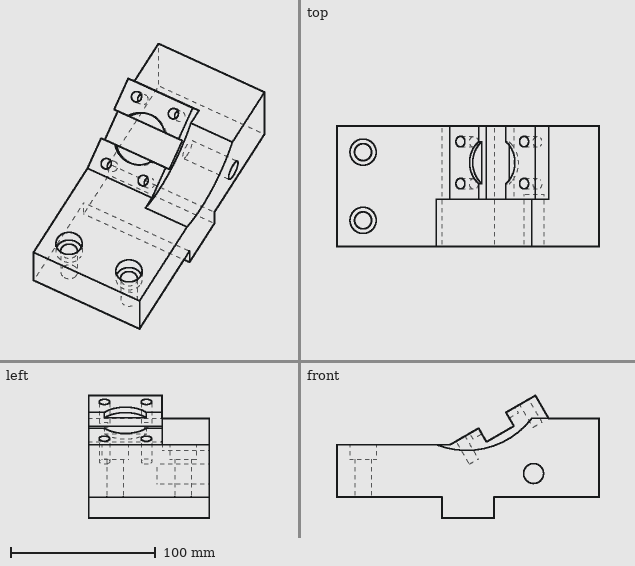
import cadquery as cq
import math

LENGTH = 181.5
DEPTH = 83.5
KEY_HEIGHT = 14.5
KEY_WIDTH = 36.3
LOW_TOP = KEY_HEIGHT + 36.3
HIGH_TOP = KEY_HEIGHT + 54.5

TROUGH_RADIUS = 56.8
TROUGH_BOTTOM = 46.8
TROUGH_X = 89.9
TROUGH_Z = TROUGH_BOTTOM + TROUGH_RADIUS

SEAT_ANGLE = 30.0
SEAT_LENGTH = 69.0
SEAT_WIDTH = 50.8
SEAT_TOP = 85.0
SEAT_END_X = 137.5
SEAT_THICKNESS = 29.0
SEAT_Y = DEPTH - SEAT_WIDTH / 2
SLOT_WIDTH = 21.8
SLOT_DEPTH = 10.9
RECESS_DIAMETER = 36.3
RECESS_DEPTH = 4.4
SEAT_HOLE_DIAMETER = 7.3
SEAT_HOLE_DEPTH = 18.2
SEAT_HOLE_PITCH_LENGTHWISE = 50.8
SEAT_HOLE_PITCH_ACROSS = 29.0

MOUNT_INSET = 18.2
MOUNT_DIAMETER = 11.6
COUNTERBORE_DIAMETER = 18.2
COUNTERBORE_DEPTH = 10.0

SIDE_HOLE_X = 136.2
SIDE_HOLE_Z = 30.9
SIDE_HOLE_DIAMETER = 13.8
SIDE_HOLE_DEPTH = 36.3


def trough_half_width(level):
    """Half the width of the trough circle at a given height."""
    return math.sqrt(TROUGH_RADIUS**2 - (TROUGH_Z - level) ** 2)


def make_body():
    """Extrude the stepped side outline, trough included, over the full depth."""
    key_start = (LENGTH - KEY_WIDTH) / 2
    key_end = key_start + KEY_WIDTH
    return (
        cq.Workplane("XZ", origin=(0, DEPTH, 0))
        .moveTo(0, KEY_HEIGHT)
        .lineTo(key_start, KEY_HEIGHT)
        .lineTo(key_start, 0)
        .lineTo(key_end, 0)
        .lineTo(key_end, KEY_HEIGHT)
        .lineTo(LENGTH, KEY_HEIGHT)
        .lineTo(LENGTH, HIGH_TOP)
        .lineTo(TROUGH_X + trough_half_width(HIGH_TOP), HIGH_TOP)
        .threePointArc(
            (TROUGH_X, TROUGH_BOTTOM),
            (TROUGH_X - trough_half_width(LOW_TOP), LOW_TOP),
        )
        .lineTo(0, LOW_TOP)
        .close()
        .extrude(DEPTH)
    )


def fill_trough_behind(part):
    """Close the low part of the trough under the seat, leaving it open only in front."""
    shelf_length = 2 * trough_half_width(LOW_TOP)
    shelf = cq.Workplane("XY").box(
        shelf_length, SEAT_WIDTH, LOW_TOP - KEY_HEIGHT, centered=(True, True, False)
    )
    return part.union(shelf.translate((TROUGH_X, SEAT_Y, KEY_HEIGHT)))


def seat_plane():
    """Plane on the seat's top face: x runs up the slope, y across it."""
    angle = math.radians(SEAT_ANGLE)
    center = (
        SEAT_END_X - SEAT_LENGTH / 2 * math.cos(angle),
        SEAT_Y,
        SEAT_TOP - SEAT_LENGTH / 2 * math.sin(angle),
    )
    return cq.Plane(
        origin=center,
        xDir=(math.cos(angle), 0, math.sin(angle)),
        normal=(-math.sin(angle), 0, math.cos(angle)),
    )


def add_seat(part):
    """Add the inclined block, then cut its slot, round recess and screw holes."""
    seat = cq.Workplane(seat_plane())
    block = seat.rect(SEAT_LENGTH, SEAT_WIDTH).extrude(-SEAT_THICKNESS)
    slot = seat.rect(SLOT_WIDTH, SEAT_WIDTH).extrude(-SLOT_DEPTH)
    recess = seat.circle(RECESS_DIAMETER / 2).extrude(-RECESS_DEPTH)
    holes = (
        seat.rect(SEAT_HOLE_PITCH_LENGTHWISE, SEAT_HOLE_PITCH_ACROSS, forConstruction=True)
        .vertices()
        .circle(SEAT_HOLE_DIAMETER / 2)
        .extrude(-SEAT_HOLE_DEPTH)
    )
    return part.union(block).cut(slot).cut(recess).cut(holes)


def cut_mounting_holes(part):
    """Cut the two counterbored through holes in the low end."""
    centers = [(MOUNT_INSET, MOUNT_INSET), (MOUNT_INSET, DEPTH - MOUNT_INSET)]
    top = cq.Workplane("XY", origin=(0, 0, LOW_TOP)).pushPoints(centers)
    holes = top.circle(MOUNT_DIAMETER / 2).extrude(-LOW_TOP)
    counterbores = top.circle(COUNTERBORE_DIAMETER / 2).extrude(-COUNTERBORE_DEPTH)
    return part.cut(holes).cut(counterbores)


def cut_side_hole(part):
    """Cut the blind hole in the front face."""
    hole = (
        cq.Workplane("XZ")
        .center(SIDE_HOLE_X, SIDE_HOLE_Z)
        .circle(SIDE_HOLE_DIAMETER / 2)
        .extrude(-SIDE_HOLE_DEPTH)
    )
    return part.cut(hole)


result = make_body()
result = fill_trough_behind(result)
result = add_seat(result)
result = cut_mounting_holes(result)
result = cut_side_hole(result)